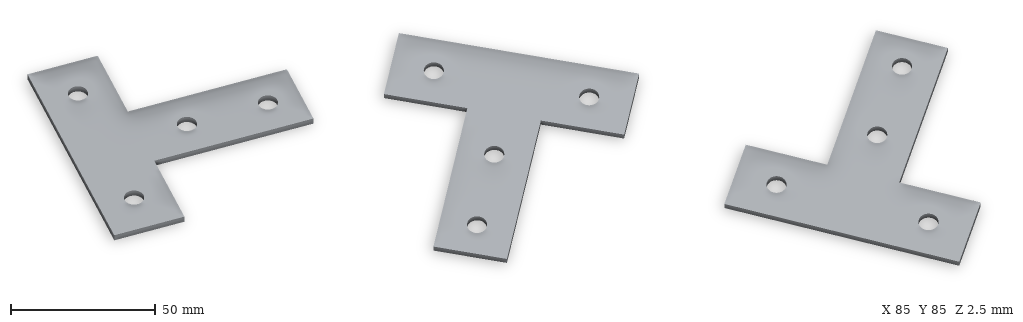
import cadquery as cq

plate_size = 85.0
thickness = 2.5
arm_width = 26.0
hole_diameter = 7.0
bar_hole_spacing = 55.0
stem_hole_pitch = 30.0

bar_center_y = arm_width / 2
hole_centers = [
    (-bar_hole_spacing / 2, bar_center_y),
    (bar_hole_spacing / 2, bar_center_y),
    (0, bar_center_y + stem_hole_pitch),
    (0, bar_center_y + 2 * stem_hole_pitch),
]

bar = cq.Workplane("XY").box(plate_size, arm_width, thickness, centered=(True, False, False))
stem = cq.Workplane("XY").box(arm_width, plate_size, thickness, centered=(True, False, False))
plate = bar.union(stem).clean()

holes = cq.Workplane("XY").pushPoints(hole_centers).circle(hole_diameter / 2).extrude(thickness)
result = plate.cut(holes)